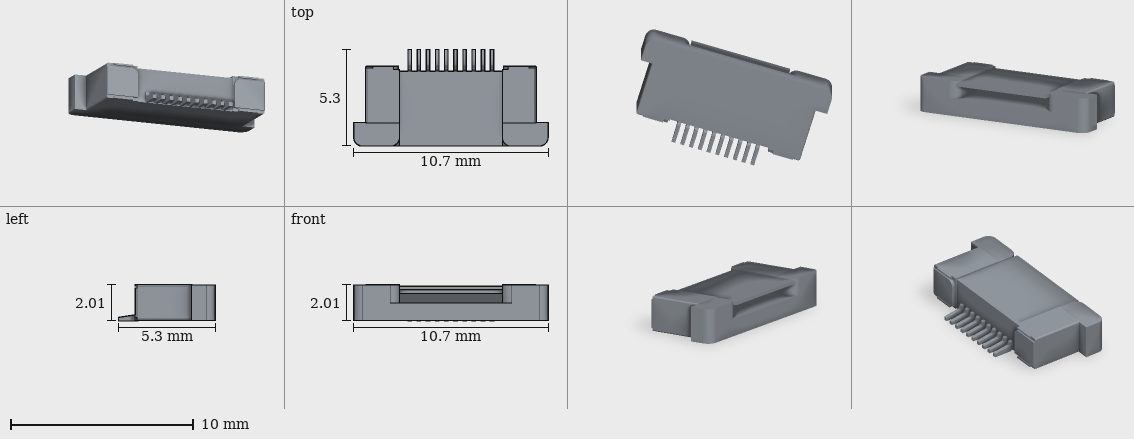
import cadquery as cq

length = 10.65
height = 2.01
standoff = 0.03
flange_top = 1.98
flange_depth = 1.31
corner_radius = 0.49
sheet = 0.1

lid_width = 5.62
lid_depth = 4.11
lid_top = height - sheet
lid_bottom = 1.73
mouth_floor = 0.99
slot_top = 1.5
slot_end = 3.2

shell_outer_x = 4.68
shell_front = 1.28
shell_rear = 4.39
wall_rear = shell_rear - sheet
notch_rear = 4.2
tab_outer_x = 4.28
tab_inner_x = 3.13
flap_inner_x = 2.88
flap_bottom = 0.21
flap_top = 1.82
flap_corner_radius = 0.35

contact_count = 10
contact_pitch = 0.5
contact_width = 0.2
contact_tip = 5.3
tip_thickness = 0.21
heel_height = 0.35
contact_top = 0.61
heel_bend_radius = 0.21


def block(x_min, x_max, y_min, y_max, z_min, z_max):
    """Axis-aligned block between the given limits."""
    size = (x_max - x_min, y_max - y_min, z_max - z_min)
    return cq.Workplane("XY").box(*size, centered=False).translate((x_min, y_min, z_min))


def make_housing():
    """Front flange with rounded ends, lowered to the lid across the middle."""
    half_lid = lid_width / 2
    flange = block(-length / 2, length / 2, 0, flange_depth, standoff, flange_top)
    flange = flange.edges("|Z and <Y").fillet(corner_radius)
    centre = block(-half_lid, half_lid, 0, lid_depth, standoff, lid_top)

    opening = (
        cq.Workplane("XY", origin=(0, 0, mouth_floor))
        .moveTo(-half_lid - corner_radius, 0)
        .radiusArc((-half_lid, corner_radius), -corner_radius)
        .lineTo(-half_lid, flange_depth)
        .lineTo(half_lid, flange_depth)
        .lineTo(half_lid, corner_radius)
        .radiusArc((half_lid + corner_radius, 0), -corner_radius)
        .close()
        .extrude(height)
    )
    lid = block(-half_lid, half_lid, 0, flange_depth, lid_bottom, lid_top)
    slot = block(-half_lid, half_lid, flange_depth, slot_end, mouth_floor, slot_top)
    return flange.union(centre).cut(opening).union(lid).cut(slot)


def make_left_shell():
    """Folded sheet shell around the left end of the housing."""
    inner_x = lid_width / 2
    wall = block(-shell_outer_x, -tab_inner_x, shell_front, wall_rear, standoff, height)
    wall = wall.edges("|Y and <X").fillet(sheet)
    inner = block(-tab_inner_x, -inner_x, shell_front, notch_rear, standoff, height)
    flap = block(-shell_outer_x, -flap_inner_x, notch_rear, shell_rear, flap_bottom, flap_top)
    flap = flap.edges("|Z and <X and >Y").fillet(sheet)
    flap = flap.edges("|Y and >X and >Z").fillet(flap_corner_radius)
    shell = wall.union(inner).union(flap)
    for tab_bottom in (standoff, height - sheet):
        tab_top = tab_bottom + sheet
        shell = shell.union(
            block(-tab_outer_x, -tab_inner_x, wall_rear, shell_rear, tab_bottom, tab_top)
        )
    return shell


def make_contact(x):
    """Soldering foot that tapers outward and bends up into the housing."""
    heel_front = lid_depth + heel_bend_radius
    taper = heel_height - tip_thickness
    foot_direction = (shell_rear - contact_tip, taper)
    return (
        cq.Workplane("YZ", origin=(x - contact_width / 2, 0, 0))
        .moveTo(heel_front, 0)
        .lineTo(contact_tip, 0)
        .lineTo(contact_tip, tip_thickness)
        .lineTo(shell_rear, heel_height)
        .spline([(notch_rear, contact_top)], tangents=[foot_direction, (-1, 0)], includeCurrent=True)
        .lineTo(slot_end, contact_top)
        .lineTo(slot_end, heel_bend_radius)
        .lineTo(lid_depth, heel_bend_radius)
        .radiusArc((heel_front, 0), -heel_bend_radius)
        .close()
        .extrude(contact_width)
    )


left_shell = make_left_shell()
result = make_housing().union(left_shell).union(left_shell.mirror("YZ"))
for index in range(contact_count):
    result = result.union(make_contact((index - (contact_count - 1) / 2) * contact_pitch))